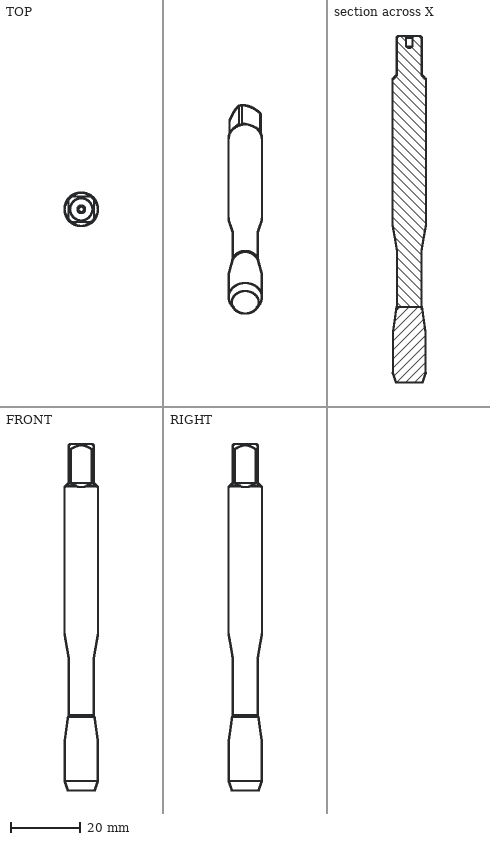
import cadquery as cq
import math

total_length = 100.0
lead_length = 2.8
thread_top = 14.3
cutter_top = 21.3
neck_collar_top = 21.9
neck_top = 38.1
shank_taper_top = 45.1

cutter_diameter = 9.65
tip_diameter = 7.76
cutter_neck_diameter = 7.7
neck_diameter = 7.25
shank_diameter = 9.68

square_width = 7.26
square_corner_diameter = 9.32
square_length = 11.25
corner_length = 12.05
end_face_diameter = 6.4

centre_hole_diameter = 1.6
centre_hole_depth = 3.0
countersink_diameter = 2.2
countersink_depth = 0.6
drill_point_angle = 118


def turned(profile):
    """Solid of revolution about Z from (diameter, height) pairs, closed along the axis."""
    points = [(diameter / 2, height) for diameter, height in profile]
    axis_points = [(0, height) for diameter, height in (profile[-1], profile[0]) if diameter > 0]
    return cq.Workplane("XZ").polyline(points + axis_points).close().revolve(360, (0, 0), (0, 1))


def make_cutter():
    """Cutting head: tapered lead, thread cylinder and a cone back towards the neck."""
    return turned([
        (tip_diameter, 0),
        (cutter_diameter, lead_length),
        (cutter_diameter, thread_top),
        (cutter_neck_diameter, cutter_top),
        (neck_diameter, cutter_top),
        (neck_diameter, neck_collar_top),
    ])


def square_block(width, bottom, height):
    """Square block centred on the axis."""
    return cq.Workplane("XY", origin=(0, 0, bottom)).rect(width, width).extrude(height)


def square_envelope():
    """Square prism on the flats that flares at 45 degrees to clear the shank below them."""
    flats_bottom = total_length - square_length
    flare = square_width / 2
    flared_width = square_width + 2 * flare
    flare_bottom = flats_bottom - flare
    prism = square_block(square_width, flats_bottom, square_length)
    flared_base = (
        cq.Workplane("XY", origin=(0, 0, flare_bottom))
        .rect(flared_width, flared_width)
        .workplane(offset=flare)
        .rect(square_width, square_width)
        .loft(ruled=True)
    )
    clearance = square_block(flared_width, 0, flare_bottom)
    return prism.union(flared_base).union(clearance)


def centre_hole():
    """Countersunk pilot hole with a conical drill point, cut down from the upper end."""
    point_angle = math.radians(drill_point_angle / 2)
    point_length = centre_hole_diameter / 2 / math.tan(point_angle)
    hole_bottom = total_length - centre_hole_depth
    return turned([
        (0, hole_bottom - point_length),
        (centre_hole_diameter, hole_bottom),
        (centre_hole_diameter, total_length - countersink_depth),
        (countersink_diameter, total_length),
    ])


def make_shank():
    """Shank with its neck, a driving square and a centre hole in the upper end."""
    end_chamfer = (square_corner_diameter - end_face_diameter) / 2
    corner_step = (shank_diameter - square_corner_diameter) / 2
    corner_bottom = total_length - corner_length
    body = turned([
        (neck_diameter, neck_collar_top),
        (neck_diameter, neck_top),
        (shank_diameter, shank_taper_top),
        (shank_diameter, corner_bottom - corner_step),
        (square_corner_diameter, corner_bottom),
        (square_corner_diameter, total_length - end_chamfer),
        (end_face_diameter, total_length),
    ])
    return body.intersect(square_envelope()).cut(centre_hole())


cutter = make_cutter()
shank = make_shank()
result = cq.Compound.makeCompound([cutter.val(), shank.val()])